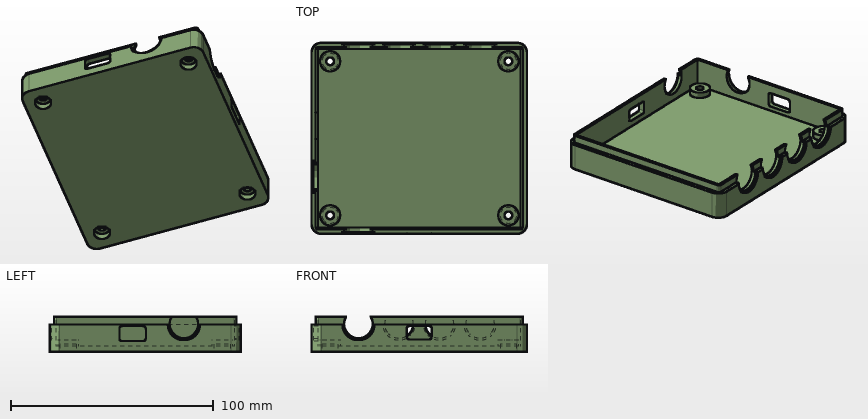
import cadquery as cq

length = 106.4
width = 94.4
height = 17.3
rim_height = 13.5
corner_radius = 5.0
wall = 3.2
floor = 3.0
lip_inset = 2.1
lip_corner_radius = 1.4

boss_x = 43.9
boss_y = 38.0
boss_diameter = 10.0
boss_height = 3.0
screw_diameter = 3.7
screw_head_diameter = 8.0
screw_seat = 2.0

notch_diameter = 14.0
notch_step_diameter = 16.0
notch_step_depth = 1.0
notch_z = 13.7
notch_pitch = 20.0
notch_count = 4
side_notch_y = -19.0

port_top = 12.7
front_port_width = 12.1
front_port_height = 6.5
front_port_radius = 1.1
side_port_width = 13.1
side_port_height = 7.3
side_port_radius = 1.4
side_port_y = 6.3

TO_LEFT = -90
TO_BACK = 180


def front_plane(depth, face_offset):
    """Sketch plane inside the front wall; extruding goes outwards, toward -Y."""
    return cq.Workplane("XZ", origin=(0, depth - face_offset, 0))


def make_tray():
    cavity_size = (length - 2 * wall, width - 2 * wall)
    tray = cq.Workplane().rect(length, width).extrude(rim_height).edges("|Z").fillet(corner_radius)
    lip = (
        cq.Workplane()
        .rect(length - 2 * lip_inset, width - 2 * lip_inset)
        .extrude(height)
        .edges("|Z")
        .fillet(lip_corner_radius)
    )
    cavity = cq.Workplane().workplane(offset=floor).rect(*cavity_size).extrude(height)
    return tray.union(lip).cut(cavity)


def add_bosses(body):
    """Round bosses, bored for a screw whose head is sunk from below."""
    corners = [(x, y) for x in (-boss_x, boss_x) for y in (-boss_y, boss_y)]
    boss_top = floor + boss_height

    def posts(diameter, top):
        return cq.Workplane().pushPoints(corners).circle(diameter / 2).extrude(top)

    body = body.union(posts(boss_diameter, boss_top))
    body = body.cut(posts(screw_diameter, boss_top))
    return body.cut(posts(screw_head_diameter, boss_top - screw_seat))


def notch_cutter(position, face_offset):
    bore = front_plane(wall, face_offset).center(position, notch_z).circle(notch_diameter / 2).extrude(wall)
    step = (
        front_plane(notch_step_depth, face_offset)
        .center(position, notch_z)
        .circle(notch_step_diameter / 2)
        .extrude(notch_step_depth)
    )
    return bore.union(step)


def port_cutter(position, face_offset, port_width, port_height, radius):
    return (
        front_plane(wall, face_offset)
        .center(position, port_top - port_height / 2)
        .rect(port_width, port_height)
        .extrude(wall)
        .edges("|Y")
        .fillet(radius)
    )


def turned(cutter, angle):
    return cutter.rotate((0, 0, 0), (0, 0, 1), angle)


row_start = -notch_pitch * (notch_count - 1) / 2

result = add_bosses(make_tray())

result = result.cut(notch_cutter(row_start, width / 2))
result = result.cut(port_cutter(0, width / 2, front_port_width, front_port_height, front_port_radius))

for index in range(notch_count):
    position = row_start + index * notch_pitch
    result = result.cut(turned(notch_cutter(position, width / 2), TO_BACK))

result = result.cut(turned(notch_cutter(-side_notch_y, length / 2), TO_LEFT))
side_port = port_cutter(-side_port_y, length / 2, side_port_width, side_port_height, side_port_radius)
result = result.cut(turned(side_port, TO_LEFT))